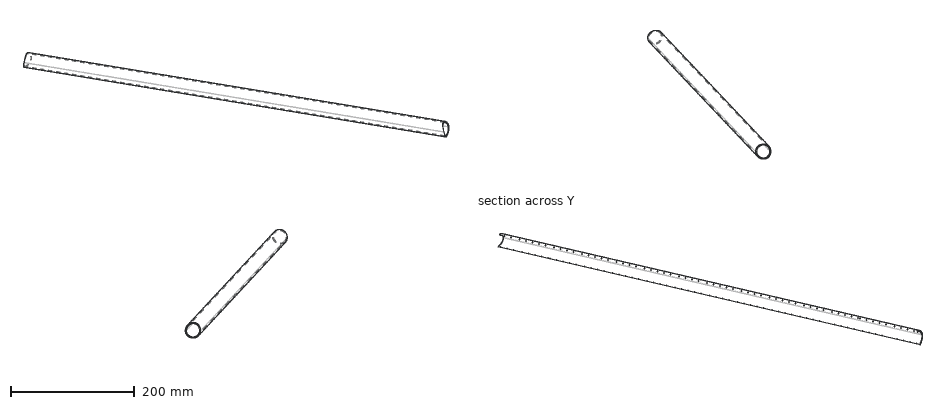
import cadquery as cq
import math

overall_length = 743.42
outer_diameter = 25.0
wall = 2.0
cope_radius = 32.0

left_roll = -15.0
left_lean = -4.0
left_offset = 3.6
left_setout = 27.67
right_roll = 99.0
right_lean = -11.0
right_offset = -3.3
right_setout = 27.94

half_length = overall_length / 2
outer_radius = outer_diameter / 2
inner_radius = outer_radius - wall
bar_length = 8 * cope_radius


def add_split_circle(sketch, radius):
    """A circle made of an upper and a lower half, so the tube wall is two half shells."""
    return (
        sketch.moveTo(-radius, 0)
        .threePointArc((0, radius), (radius, 0))
        .threePointArc((0, -radius), (-radius, 0))
        .close()
    )


def straight_tube():
    section = cq.Workplane("YZ", origin=(-half_length, 0, 0))
    section = add_split_circle(section, outer_radius)
    section = add_split_circle(section, inner_radius)
    return section.extrude(overall_length, clean=False)


def crossing_bar(side, roll, lean, offset, setout):
    """Round bar that copes the -X end (side = -1) or the +X end (side = 1)."""
    roll_angle = math.radians(roll)
    lean_angle = math.radians(lean)
    roll_cos = math.cos(roll_angle)
    roll_sin = math.sin(roll_angle)
    lean_cos = math.cos(lean_angle)
    axis = cq.Vector(side * math.sin(lean_angle), lean_cos * roll_cos, lean_cos * roll_sin)
    centre = cq.Vector(side * (half_length + setout), -offset * roll_sin, offset * roll_cos)
    start = centre - axis * (bar_length / 2)
    return cq.Workplane(cq.Solid.makeCylinder(cope_radius, bar_length, start, axis))


left_bar = crossing_bar(-1, left_roll, left_lean, left_offset, left_setout)
right_bar = crossing_bar(1, right_roll, right_lean, right_offset, right_setout)

result = straight_tube().cut(left_bar, clean=False).cut(right_bar, clean=False)